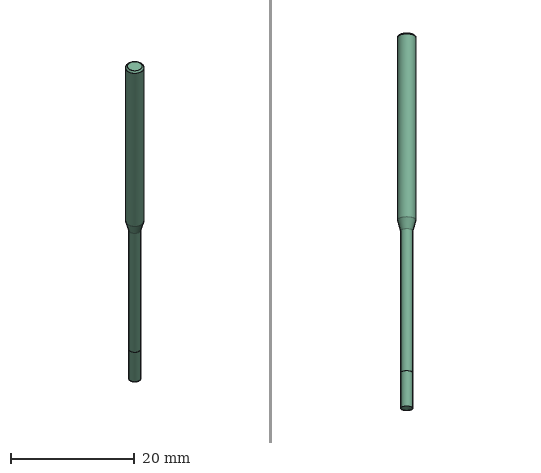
import cadquery as cq
import math

overall_length = 65.0
shank_diameter = 3.0
shank_length = 32.0
shank_chamfer = 0.3
neck_diameter = 2.0
cutter_diameter = 2.0
cutter_length = 6.5
point_angle = 140.0
taper_angle = 15.0

shank_radius = shank_diameter / 2
neck_radius = neck_diameter / 2
cutter_radius = cutter_diameter / 2
point_height = cutter_radius / math.tan(math.radians(point_angle / 2))
shank_bottom = overall_length - shank_length
taper_length = (shank_radius - neck_radius) / math.tan(math.radians(taper_angle))
taper_bottom = shank_bottom - taper_length


def revolve_profile(points):
    """Turn a closed (radius, height) outline about the Z axis."""
    return cq.Workplane("XZ").polyline(points).close().revolve(360, (0, 0), (0, 1))


def make_cutter():
    """Cylindrical cutting head that ends in a conical point."""
    return revolve_profile([
        (0, 0),
        (cutter_radius, point_height),
        (cutter_radius, cutter_length),
        (0, cutter_length),
    ])


def make_shank():
    """Neck, taper and chamfered clamping shank in one piece."""
    return revolve_profile([
        (0, cutter_length),
        (neck_radius, cutter_length),
        (neck_radius, taper_bottom),
        (shank_radius, shank_bottom),
        (shank_radius, overall_length - shank_chamfer),
        (shank_radius - shank_chamfer, overall_length),
        (0, overall_length),
    ])


cutter = make_cutter()
shank = make_shank()

result = cq.Compound.makeCompound([cutter.val(), shank.val()])